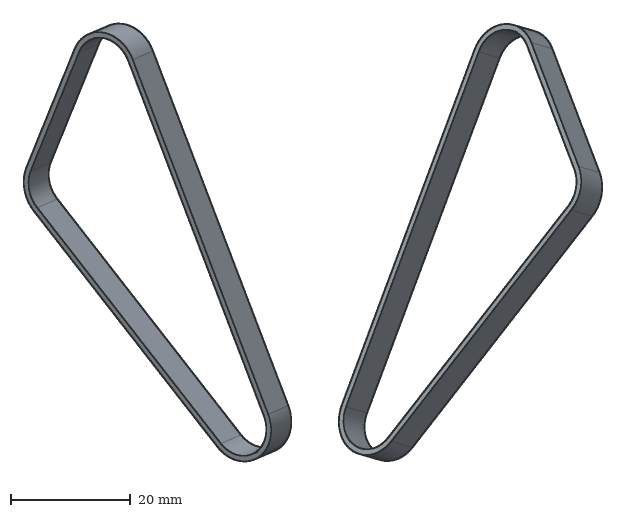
import cadquery as cq

width_x = 50.0
depth_y = 6.0
height_z = 70.15

corner_radius = 6.45
wall = 1.0
top_from_left = 9.75
left_below_top = 22.4

left_x = -width_x / 2 + corner_radius
right_x = width_x / 2 - corner_radius
top_z = height_z / 2 - corner_radius
bottom_z = -height_z / 2 + corner_radius
corner_centres = [
    (left_x, top_z - left_below_top),
    (left_x + top_from_left, top_z),
    (right_x, bottom_z),
]


def rounded_triangle(radius):
    """Triangle through the corner centres, grown outward by radius with round corners."""
    return (
        cq.Workplane("XZ")
        .polyline(corner_centres)
        .close()
        .offset2D(radius, "arc")
        .extrude(depth_y / 2, both=True)
    )


outer = rounded_triangle(corner_radius)
opening = rounded_triangle(corner_radius - wall)
result = outer.cut(opening)